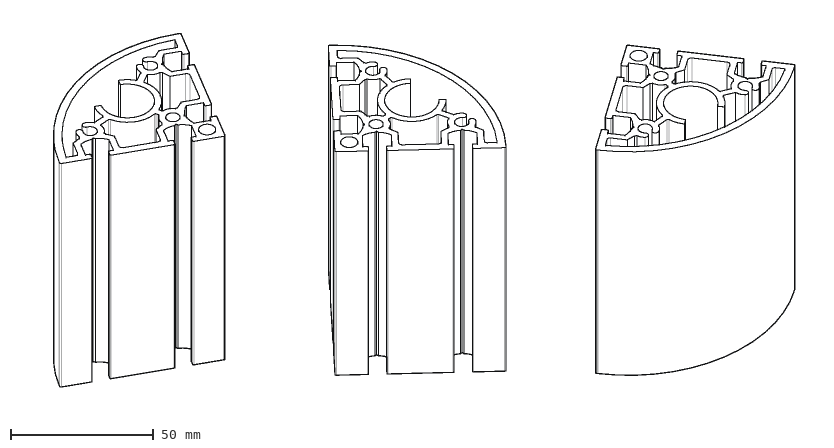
import cadquery as cq
import math


side = 60.0
length = 100.0
wall = 3.0
rim_flat = 1.0
curve_radius = side - rim_flat
corner_radius = 0.6

slot_places = (15.0, 45.0)
slot_mouth = 6.4
slot_width = 10.2
slot_wall = 2.4
lip = 2.5
slot_side_depth = 8.7
slot_floor_depth = 10.4
notch_half_width = 0.6
notch_tip_depth = 11.0
body_half = slot_width / 2 + slot_wall
body_shoulder_depth = 10.0
body_foot_half = 4.8
body_foot_depth = 12.0
body_toe_half = 4.5
body_toe_depth = 12.9
lip_radius = 0.4

channel_depth = 15.0
channel_hole = 5.0
channel_outer = 10.0
channel_tip_angle = 36.0
channel_ring = (channel_outer - channel_hole) / 2

corner_block = slot_places[0] - slot_width / 2
corner_hole = 6.0
corner_hole_place = 5.2

tube_place = 28.0
tube_outer_radius = 12.0
tube_inner_radius = 9.5

web = 2.5
web_radius = 0.5
side_web_start = (-42.0, -18.0)
side_web_end = (-36.5, -21.4)

pocket_radius = 1.3
end_pocket_radius = 1.0


def block(x_min, y_min, x_max, y_max):
    width = x_max - x_min
    depth = y_max - y_min
    return cq.Workplane("XY").box(width, depth, length, centered=False).translate((x_min, y_min, 0))


def rod(x, y, radius):
    return cq.Workplane("XY").center(x, y).circle(radius).extrude(length)


def mirrored(body):
    """The same body reflected across the line x = y."""
    return body.mirror((1, -1, 0))


def add_both(target, body):
    return target.union(body).union(mirrored(body))


def cut_both(target, body):
    return target.cut(body).cut(mirrored(body))


def round_edges(target, points, radius):
    """Fillet the lengthwise edge at each point and at its mirror point."""
    for x, y in points:
        for place in ((x, y, length / 2), (y, x, length / 2)):
            target = target.edges(cq.selectors.NearestToPointSelector(place)).fillet(radius)
    return target


def shell():
    arc_middle = -rim_flat - curve_radius * math.sqrt(0.5)
    outline = (
        cq.Workplane("XY")
        .lineTo(-side, 0)
        .lineTo(-side, -rim_flat)
        .threePointArc((arc_middle, arc_middle), (-rim_flat, -side))
        .lineTo(0, -side)
        .close()
        .extrude(length)
    )
    cavity = rod(-rim_flat, -rim_flat, curve_radius - wall)
    cavity = cavity.intersect(block(-side, -side, -wall, -wall))
    return outline.cut(cavity)


def slot_body(place):
    """Solid metal around one slot, tapering down to its screw channel."""
    return (
        cq.Workplane("XY")
        .polyline([
            (-place - body_half, -wall / 2),
            (-place - body_half, -body_shoulder_depth),
            (-place - body_foot_half, -body_foot_depth),
            (-place - body_toe_half, -body_toe_depth),
            (-place + body_toe_half, -body_toe_depth),
            (-place + body_foot_half, -body_foot_depth),
            (-place + body_half, -body_shoulder_depth),
            (-place + body_half, -wall / 2),
        ])
        .close()
        .extrude(length)
    )


def slot_space(place):
    """Mouth, undercut chamber with a curved floor, and the centre notch of one slot."""
    half = slot_width / 2
    mouth = block(-place - slot_mouth / 2, -lip, -place + slot_mouth / 2, 0)
    chamber = (
        cq.Workplane("XY")
        .moveTo(-place - half, -lip)
        .lineTo(-place - half, -slot_side_depth)
        .threePointArc((-place, -slot_floor_depth), (-place + half, -slot_side_depth))
        .lineTo(-place + half, -lip)
        .close()
        .extrude(length)
    )
    notch_slope = (notch_tip_depth - slot_floor_depth) / notch_half_width
    notch_rise = 2 * notch_half_width
    notch_top = -notch_tip_depth + notch_rise * notch_slope
    notch = (
        cq.Workplane("XY")
        .polyline([
            (-place - notch_rise, notch_top),
            (-place, -notch_tip_depth),
            (-place + notch_rise, notch_top),
        ])
        .close()
        .extrude(length)
    )
    return mouth.union(chamber).union(notch)


def channel_tip(x, y, angle):
    middle = (channel_outer + channel_hole) / 4
    turn = math.radians(angle)
    return rod(x + middle * math.cos(turn), y + middle * math.sin(turn), channel_ring / 2)


def channel_opening(x, y, angles):
    """Wedge that opens a screw channel between the two tip angles."""
    points = [(x, y)]
    for angle in angles:
        turn = math.radians(angle)
        points.append((x + channel_outer * math.cos(turn), y + channel_outer * math.sin(turn)))
    ring = rod(x, y, channel_outer / 2)
    return cq.Workplane("XY").polyline(points).close().extrude(length).intersect(ring)


def bar(start, end):
    """Straight web between two points."""
    run = math.hypot(end[0] - start[0], end[1] - start[1])
    angle = math.degrees(math.atan2(end[1] - start[1], end[0] - start[0]))
    middle = ((start[0] + end[0]) / 2, (start[1] + end[1]) / 2, 0)
    plate = cq.Workplane("XY").rect(run, web).extrude(length)
    return plate.rotate((0, 0, 0), (0, 0, 1), angle).translate(middle)


def web_corners(start, end, circle):
    """Points where the two faces of a web meet the circle, given as (x, y, radius)."""
    centre_x, centre_y, radius = circle
    run = math.hypot(end[0] - start[0], end[1] - start[1])
    along = ((end[0] - start[0]) / run, (end[1] - start[1]) / run)
    corners = []
    for offset in (-web / 2, web / 2):
        x = start[0] - offset * along[1] - centre_x
        y = start[1] + offset * along[0] - centre_y
        nearest = -(x * along[0] + y * along[1])
        miss = x * along[1] - y * along[0]
        half_chord = math.sqrt(radius**2 - miss**2)
        for step in (nearest - half_chord, nearest + half_chord):
            if 0 < step < run:
                corners.append((centre_x + x + step * along[0], centre_y + y + step * along[1]))
    return corners


def tube():
    ring = rod(-tube_place, -tube_place, tube_outer_radius)
    ring = ring.cut(rod(-tube_place, -tube_place, tube_inner_radius))
    return ring.cut(block(-side, -side, -tube_place, -tube_place))


near_slot, far_slot = slot_places
tip_angles = (225 - channel_tip_angle, 225 + channel_tip_angle)

profile = shell()
for slot_place in slot_places:
    profile = add_both(profile, slot_body(slot_place))
profile = profile.union(block(-corner_block, -corner_block, 0, 0))

profile = profile.union(rod(-near_slot, -channel_depth, channel_outer / 2))
end_channel = rod(-far_slot, -channel_depth, channel_outer / 2)
end_channel = end_channel.cut(channel_opening(-far_slot, -channel_depth, tip_angles))
for tip_angle in tip_angles:
    end_channel = end_channel.union(channel_tip(-far_slot, -channel_depth, tip_angle))
profile = add_both(profile, end_channel)

tube_web_end = -tube_place + (tube_inner_radius + web / 2) * math.sqrt(0.5)
profile = profile.union(tube())
centre_web_start = (-near_slot, -channel_depth)
centre_web_end = (tube_web_end, tube_web_end)
profile = profile.union(bar(centre_web_start, centre_web_end))
profile = add_both(profile, bar(side_web_start, side_web_end))

for slot_place in slot_places:
    profile = cut_both(profile, slot_space(slot_place))
    profile = cut_both(profile, rod(-slot_place, -channel_depth, channel_hole / 2))
profile = profile.cut(rod(-corner_hole_place, -corner_hole_place, corner_hole / 2))

tube_circle = (-tube_place, -tube_place, tube_outer_radius)
near_channel_circle = (-near_slot, -channel_depth, channel_outer / 2)
web_edges = [
    web_corners(centre_web_start, centre_web_end, tube_circle)[0],
    web_corners(centre_web_start, centre_web_end, near_channel_circle)[0],
]
web_edges += web_corners(side_web_start, side_web_end, tube_circle)
profile = round_edges(profile, web_edges, web_radius)
lip_edges = []
for slot_place in slot_places:
    for mouth_edge in (-slot_place - slot_mouth / 2, -slot_place + slot_mouth / 2):
        lip_edges += [(mouth_edge, 0), (mouth_edge, -lip)]
profile = round_edges(profile, lip_edges, lip_radius)
pocket_edges = [(-near_slot - body_half, -wall), (-far_slot + body_half, -wall)]
profile = round_edges(profile, pocket_edges, pocket_radius)
profile = round_edges(profile, [(-far_slot - body_half, -wall)], end_pocket_radius)
profile = round_edges(profile, [(-side, 0)], corner_radius)
result = profile.edges(cq.selectors.NearestToPointSelector((0, 0, length / 2))).fillet(corner_radius)